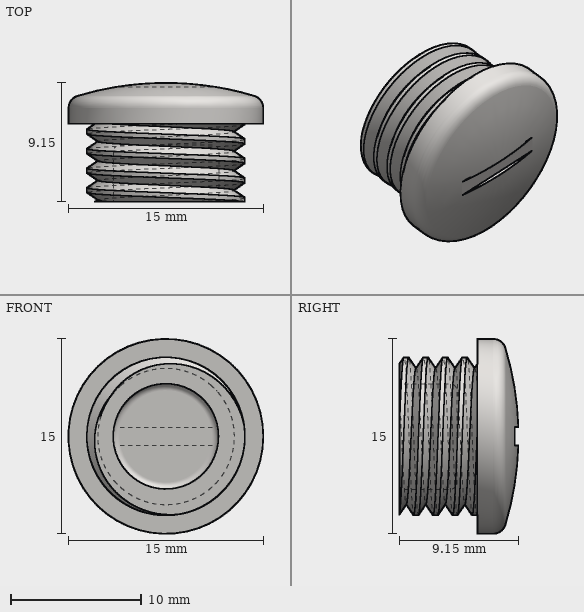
import cadquery as cq
import math

head_radius = 7.5
rim_height = 1.2
rim_fillet = 1.0
dome_height = 3.165

slot_width = 1.4
slot_floor_height = 2.87

stud_length = 6.0
crest_radius = 6.08
pitch = 1.5
crest_width = 0.36
groove_depth = 0.83
first_groove_offset = 0.6

bore_radius = 4.05
bore_depth = 4.4
bore_fillet = 0.5

clearance = 0.2


def make_head():
    """Revolved head; the rim fillet runs tangent into the spherical dome."""
    fillet_centre_radius = head_radius - rim_fillet
    rise = dome_height - rim_height
    dome_radius = (fillet_centre_radius**2 + rise**2 - rim_fillet**2) / (2 * (rise - rim_fillet))
    dome_centre_height = dome_height - dome_radius

    def on_dome(angle):
        return (dome_radius * math.sin(angle), dome_centre_height + dome_radius * math.cos(angle))

    def on_fillet(angle):
        return (
            fillet_centre_radius + rim_fillet * math.sin(angle),
            rim_height + rim_fillet * math.cos(angle),
        )

    tangent_angle = math.atan2(fillet_centre_radius, rim_height - dome_centre_height)
    fillet_middle_angle = (tangent_angle + math.pi / 2) / 2
    return (
        cq.Workplane("XY")
        .moveTo(0, 0)
        .lineTo(head_radius, 0)
        .lineTo(head_radius, rim_height)
        .threePointArc(on_fillet(fillet_middle_angle), on_fillet(tangent_angle))
        .threePointArc(on_dome(tangent_angle / 2), (0, dome_height))
        .close()
        .revolve(360, (0, 0), (0, 1))
    )


def make_slot():
    """Shallow slot along X, cut down through the crown of the dome."""
    slot_cut_height = dome_height - slot_floor_height + clearance
    return (
        cq.Workplane("XY")
        .box(2 * head_radius, slot_cut_height, slot_width, centered=(True, False, True))
        .translate((0, slot_floor_height, 0))
    )


def make_groove():
    """Helical V groove around +Z, wound left-handed and longer than the stud."""
    slope = (pitch - crest_width) / 2 / groove_depth
    root_radius = crest_radius - groove_depth
    outer_radius = crest_radius + clearance
    outer_half_width = slope * (groove_depth + clearance)
    start = first_groove_offset - 2 * pitch
    length = stud_length + 4 * pitch
    helix = cq.Wire.makeHelix(pitch, length, root_radius, cq.Vector(0, 0, start), lefthand=True)
    return (
        cq.Workplane("XZ")
        .moveTo(root_radius, start)
        .lineTo(outer_radius, start + outer_half_width)
        .lineTo(outer_radius, start - outer_half_width)
        .close()
        .sweep(cq.Workplane(obj=helix), isFrenet=True)
    )


def make_stud():
    """Threaded stud hanging from the head along -Y."""
    stud = cq.Workplane("XY").circle(crest_radius).extrude(stud_length).rotate((0, 0, 0), (0, 0, 1), 180)
    return stud.cut(make_groove()).rotate((0, 0, 0), (1, 0, 0), 90)


def make_bore():
    """Blind bore from the stud tip, with a rounded edge around its floor."""
    return (
        cq.Workplane("XZ", origin=(0, bore_depth - stud_length, 0))
        .circle(bore_radius)
        .extrude(bore_depth)
        .faces(">Y")
        .edges()
        .fillet(bore_fillet)
    )


result = make_head().cut(make_slot()).union(make_stud()).cut(make_bore())